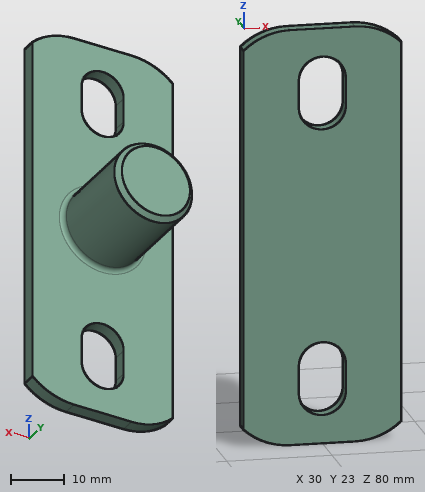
import cadquery as cq
import math

plate_width = 30.0
plate_height = 80.0
plate_thickness = 3.0
flat_end_width = 12.3
corner_radius = 13.0

slot_width = 9.0
slot_length = 14.0
slot_spacing = 55.0

pin_diameter = 16.6
pin_length = 20.0
pin_chamfer = 1.0
pin_base_fillet = 1.0


def corner_drop(x):
    """Distance of the corner arc below the flat end at half-width x."""
    run = x - flat_end_width / 2
    return corner_radius - math.sqrt(corner_radius**2 - run**2)


def make_plate():
    side = plate_width / 2
    top = plate_height / 2
    flat = flat_end_width / 2
    middle = (side + flat) / 2
    side_top = top - corner_drop(side)
    middle_top = top - corner_drop(middle)
    return (
        cq.Workplane("XZ")
        .moveTo(-flat, top)
        .lineTo(flat, top)
        .threePointArc((middle, middle_top), (side, side_top))
        .lineTo(side, -side_top)
        .threePointArc((middle, -middle_top), (flat, -top))
        .lineTo(-flat, -top)
        .threePointArc((-middle, -middle_top), (-side, -side_top))
        .lineTo(-side, side_top)
        .threePointArc((-middle, middle_top), (-flat, top))
        .close()
        .extrude(-plate_thickness)
    )


def make_slots():
    return (
        cq.Workplane("XZ")
        .pushPoints([(0, slot_spacing / 2), (0, -slot_spacing / 2)])
        .slot2D(slot_length, slot_width, 90)
        .extrude(-plate_thickness)
    )


def make_pin():
    """Pin profile revolved about Y, with a fillet at its base and a chamfered tip."""
    radius = pin_diameter / 2
    base = plate_thickness
    tip = base + pin_length
    arc_inset = pin_base_fillet * (1 - math.sqrt(0.5))
    return (
        cq.Workplane("XY")
        .moveTo(0, 0)
        .lineTo(radius + pin_base_fillet, 0)
        .lineTo(radius + pin_base_fillet, base)
        .threePointArc((radius + arc_inset, base + arc_inset), (radius, base + pin_base_fillet))
        .lineTo(radius, tip - pin_chamfer)
        .lineTo(radius - pin_chamfer, tip)
        .lineTo(0, tip)
        .close()
        .revolve(360, (0, 0, 0), (0, 1, 0))
    )


result = make_plate().cut(make_slots()).union(make_pin())